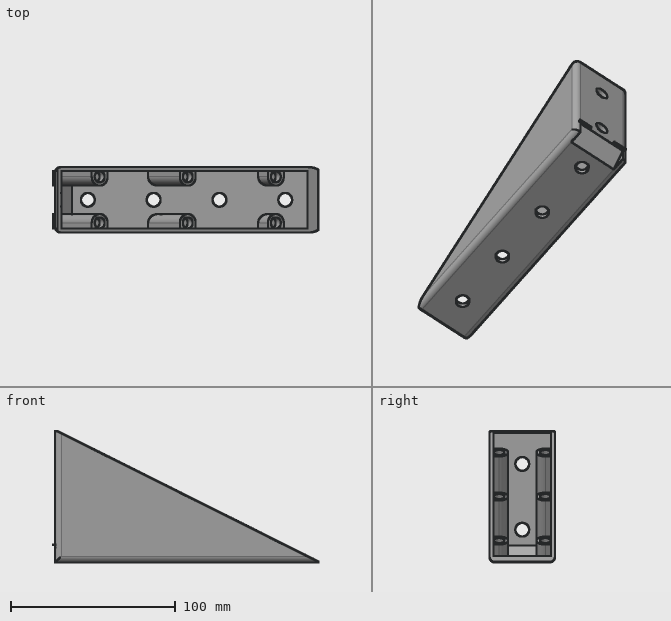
import cadquery as cq
import math

flake_reach = 1.1
length = 161.1 - flake_reach
width = 40.0
height = 80.0
tip_height = 0.6
slope = 0.5
edge_radius = 3.9
open_face_angle = math.atan(slope)

floor = 4.0
back_wall = 3.9
side_wall = 2.5
outer_bevel = 9.3
inner_bevel = 6.5
bevel_width = width - 2 * edge_radius

mount_diameter = 8.2
mount_pitch = width
floor_hole_count = 4
back_hole_count = 2

boss_diameter = 10.8
boss_hole_diameter = 6.8
boss_hole_depth = 7.0
boss_y = 14.0
boss_recess = 0.2
boss_first_x = 27.2
boss_pitch = 53.5
boss_count = 3
boss_length = 2 * height

flake_z = 11.0
flake_thickness = 0.3


def open_face_z(x):
    """Height of the sloped open face at a given x."""
    return tip_height + slope * (length - x)


def extrude_along_y(points, depth):
    """Prism with an XZ outline, centred on y = 0."""
    return cq.Workplane("XZ").polyline(points).close().extrude(depth / 2, both=True)


def make_envelope():
    """Wedge whose side edges are rounded and meet in a mitre at the lower back corner."""
    block = cq.Workplane("XY").box(length + height, width, 2 * height, centered=(False, True, False))
    rounded_back = block.edges("|Z and <X").fillet(edge_radius)
    rounded_base = block.edges("|X and <Z").fillet(edge_radius)
    flat_top_x = length - (height - tip_height) / slope
    profile = extrude_along_y(
        [(0, 0), (length, 0), (length, tip_height), (flat_top_x, height), (0, height)], width
    )
    return rounded_back.intersect(rounded_base).intersect(profile)


def make_cavity():
    """Space inside the walls, bevelled at the lower back corner and open above."""
    return extrude_along_y(
        [
            (back_wall + inner_bevel, floor),
            (length, floor),
            (length, 2 * height),
            (back_wall, 2 * height),
            (back_wall, floor + inner_bevel),
        ],
        width - 2 * side_wall,
    )


def boss_planes():
    """Pairs of (side of y = 0, workplane on the boss top at its axis)."""
    normal = (math.sin(open_face_angle), 0, math.cos(open_face_angle))
    for index in range(boss_count):
        x = boss_first_x + index * boss_pitch
        for side in (-1, 1):
            plane = cq.Plane(origin=(x, side * boss_y, open_face_z(x)), xDir=(0, 1, 0), normal=normal)
            yield side, cq.Plane(plane.origin - plane.zDir * boss_recess, plane.xDir, plane.zDir)


def make_boss(side, plane):
    """Round post joined to the side wall by a web of the same width."""
    web_length = width / 2 - boss_y
    post = cq.Workplane(plane).circle(boss_diameter / 2).extrude(-boss_length)
    web = cq.Workplane(plane).center(side * web_length / 2, 0)
    return post.union(web.rect(web_length, boss_diameter).extrude(-boss_length))


def make_flake(side):
    inner_y = boss_y - boss_diameter / 2
    outer_y = width / 2 - side_wall
    flake = cq.Workplane("XY").box(flake_reach + back_wall, outer_y - inner_y, flake_thickness)
    return flake.translate(
        ((back_wall - flake_reach) / 2, side * (inner_y + outer_y) / 2, flake_z)
    )


envelope = make_envelope()
result = envelope.cut(make_cavity())

for boss_side, boss_plane in boss_planes():
    result = result.union(make_boss(boss_side, boss_plane).intersect(envelope))

for _, boss_plane in boss_planes():
    result = result.cut(
        cq.Workplane(boss_plane).circle(boss_hole_diameter / 2).extrude(-boss_hole_depth)
    )

result = result.cut(extrude_along_y([(0, 0), (outer_bevel, 0), (0, outer_bevel)], bevel_width))

floor_holes = [((index + 0.5) * mount_pitch, 0) for index in range(floor_hole_count)]
result = result.cut(
    cq.Workplane("XY").pushPoints(floor_holes).circle(mount_diameter / 2).extrude(floor)
)

back_holes = [(0, (index + 0.5) * mount_pitch) for index in range(back_hole_count)]
result = result.cut(
    cq.Workplane("YZ").pushPoints(back_holes).circle(mount_diameter / 2).extrude(back_wall)
)

for flake_side in (-1, 1):
    result = result.union(make_flake(flake_side))